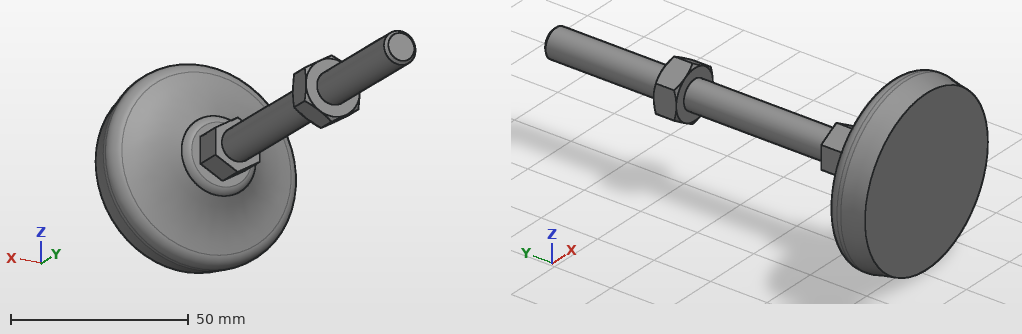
import cadquery as cq
import math

TOTAL_LENGTH = 132.0

FOOT_DIAMETER = 60.0
SOLE_DIAMETER = 57.0
RIM_BOTTOM = 7.5
RIM_TOP = 8.8
SHOULDER_FILLET = 4.0
SHOULDER_SWEEP = 79.0
COLLAR_RADIUS = 11.7
COLLAR_HEIGHT = 20.3
COLLAR_BULGE = (10.7, 21.5)
FOOT_TOP_RADIUS = 9.5
FOOT_HEIGHT = 22.0

ROD_DIAMETER = 10.0
ROD_CHAMFER = 0.9

HEX_BOTTOM = 22.7
HEX_LENGTH = 9.2
HEX_ACROSS_FLATS = 14.0

NUT_BOTTOM = 82.1
NUT_THICKNESS = 8.0
NUT_ACROSS_FLATS = 17.0
NUT_CHAMFER_ANGLE = 30.0


def hexagon(bottom, length, across_flats):
    """Hexagonal prism along +Y with its flats facing +X and -X."""
    across_corners = across_flats / math.cos(math.radians(30))
    return (
        cq.Workplane("XY")
        .polygon(6, across_corners)
        .extrude(length)
        .rotate((0, 0, 0), (0, 0, 1), 30)
        .rotate((0, 0, 0), (1, 0, 0), -90)
        .translate((0, bottom, 0))
    )


def revolve_about_y(profile):
    return profile.close().revolve(360, (0, 0, 0), (0, 1, 0))


def make_foot():
    rim_radius = FOOT_DIAMETER / 2
    sweep = math.radians(SHOULDER_SWEEP)
    shoulder_end = (
        rim_radius - SHOULDER_FILLET * (1 - math.cos(sweep)),
        RIM_TOP + SHOULDER_FILLET * math.sin(sweep),
    )
    profile = (
        cq.Workplane("XY")
        .lineTo(SOLE_DIAMETER / 2, 0)
        .lineTo(rim_radius, RIM_BOTTOM)
        .lineTo(rim_radius, RIM_TOP)
        .tangentArcPoint(shoulder_end, relative=False)
        .tangentArcPoint((COLLAR_RADIUS, COLLAR_HEIGHT), relative=False)
        .threePointArc(COLLAR_BULGE, (FOOT_TOP_RADIUS, FOOT_HEIGHT))
        .lineTo(0, FOOT_HEIGHT)
    )
    return revolve_about_y(profile)


def make_rod():
    """Rod starting inside the foot, with a chamfered free end."""
    radius = ROD_DIAMETER / 2
    rod_bottom = FOOT_HEIGHT / 2
    profile = (
        cq.Workplane("XY")
        .moveTo(0, rod_bottom)
        .lineTo(radius, rod_bottom)
        .lineTo(radius, TOTAL_LENGTH - ROD_CHAMFER)
        .lineTo(radius - ROD_CHAMFER, TOTAL_LENGTH)
        .lineTo(0, TOTAL_LENGTH)
    )
    return revolve_about_y(profile)


def make_lock_nut():
    """Hexagon with the corners turned down conically at both ends."""
    face_radius = NUT_ACROSS_FLATS / 2
    corner_radius = face_radius / math.cos(math.radians(30))
    chamfer_depth = (corner_radius - face_radius) * math.tan(math.radians(NUT_CHAMFER_ANGLE))
    nut_top = NUT_BOTTOM + NUT_THICKNESS
    envelope = (
        cq.Workplane("XY")
        .moveTo(0, NUT_BOTTOM)
        .lineTo(face_radius, NUT_BOTTOM)
        .lineTo(corner_radius, NUT_BOTTOM + chamfer_depth)
        .lineTo(corner_radius, nut_top - chamfer_depth)
        .lineTo(face_radius, nut_top)
        .lineTo(0, nut_top)
    )
    prism = hexagon(NUT_BOTTOM, NUT_THICKNESS, NUT_ACROSS_FLATS)
    return prism.intersect(revolve_about_y(envelope))


fixed_hexagon = hexagon(HEX_BOTTOM, HEX_LENGTH, HEX_ACROSS_FLATS)
result = make_foot().union(make_rod()).union(fixed_hexagon).union(make_lock_nut())